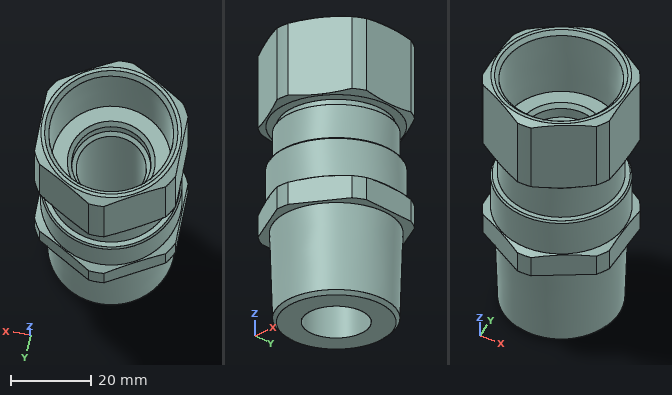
import cadquery as cq
import math

hex_flats = 36.0
corner_radius = 19.76
hex_chamfer_radius = 17.6
hex_chamfer_height = 0.85

lead_height = 1.0
collar_bottom = 25.0
collar_top = 32.1
ring_top = 43.0
housing_top = 52.95
cap_hex_bottom = 54.9
socket_floor = 57.0
total_height = 76.75

taper_ratio = 1 / 32
taper_small_radius = 16.0
taper_large_radius = taper_small_radius + (collar_bottom - lead_height) * taper_ratio
ring_radius = 17.7
ring_chamfer = 0.45
barrel_radius = 16.0
bore_radius = 8.75
seat_height = 0.6

neck_radius = 15.0
socket_radius = 15.6
socket_chamfer = 1.1
socket_floor_radius = socket_radius - (total_height - socket_chamfer - socket_floor) * taper_ratio
passage_radius = 9.9
passage_chamfer = 1.1


def revolved(points):
    """Turn a closed outline of (radius, height) points around the Z axis."""
    return cq.Workplane("XZ").polyline(points).close().revolve(360, (0, 0, 0), (0, 1, 0))


def hexagon(bottom, top, chamfer_bottom):
    """Hexagonal prism with turned corners, chamfered on top and optionally below."""
    across_corners = hex_flats / math.cos(math.pi / 6)
    prism = (
        cq.Workplane("XY", origin=(0, 0, bottom))
        .transformed(rotate=(0, 0, 30))
        .polygon(6, across_corners)
        .extrude(top - bottom)
    )
    if chamfer_bottom:
        lower_edge = [(hex_chamfer_radius, bottom), (corner_radius, bottom + hex_chamfer_height)]
    else:
        lower_edge = [(corner_radius, bottom)]
    envelope = revolved([
        (0, bottom),
        *lower_edge,
        (corner_radius, top - hex_chamfer_height),
        (hex_chamfer_radius, top),
        (0, top),
    ])
    return prism.intersect(envelope)


def make_housing():
    """Tapered pipe end, hexagonal collar, ring and barrel around a straight bore."""
    turned = revolved([
        (0, 0),
        (taper_small_radius - lead_height, 0),
        (taper_small_radius, lead_height),
        (taper_large_radius, collar_bottom),
        (ring_radius, collar_bottom),
        (ring_radius, ring_top - ring_chamfer),
        (ring_radius - ring_chamfer, ring_top),
        (barrel_radius, ring_top),
        (barrel_radius, housing_top),
        (0, housing_top),
    ])
    bore = revolved([
        (0, 0),
        (bore_radius, 0),
        (bore_radius, housing_top - seat_height),
        (passage_radius, housing_top),
        (0, housing_top),
    ])
    return turned.union(hexagon(collar_bottom, collar_top, False)).cut(bore).solids()


def make_cap():
    """Hexagonal cap on a round neck, with a tapered socket and a central passage."""
    neck = cq.Workplane("XY", origin=(0, 0, housing_top)).circle(neck_radius)
    neck = neck.extrude(cap_hex_bottom - housing_top)
    cavity = revolved([
        (0, housing_top),
        (passage_radius, housing_top),
        (passage_radius, socket_floor - passage_chamfer),
        (passage_radius + passage_chamfer, socket_floor),
        (socket_floor_radius, socket_floor),
        (socket_radius, total_height - socket_chamfer),
        (socket_radius + socket_chamfer, total_height),
        (0, total_height),
    ])
    return neck.union(hexagon(cap_hex_bottom, total_height, True)).cut(cavity).solids()


housing = make_housing()
cap = make_cap()

result = cq.Compound.makeCompound([housing.val(), cap.val()])